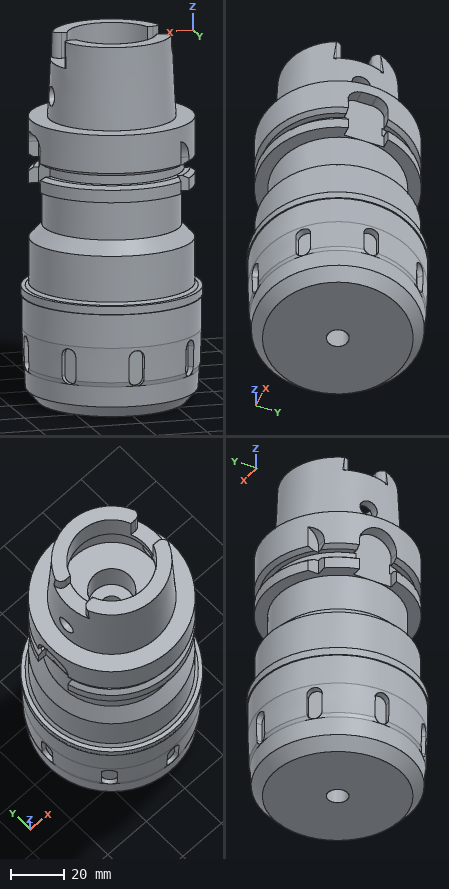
import cadquery as cq
import math

total_length = 142.0
flange_top = 110.0
flange_length = 26.1
flange_bottom = flange_top - flange_length
neck_bottom = 68.2
body_top = 63.0
body_bottom = 45.3

nut_face_radius = 28.4
nut_chamfer_radius = 32.7
nut_chamfer_height = 4.8
nose_radius = 33.1
nose_top = 12.8
nose_step_radius = 33.5
nose_step_top = 14.5
nut_radius = 34.0
nut_taper_top = 28.0
ring_radius = 34.4
ring_bottom = 41.0
ring_top = 44.3
ring_cone_radius = 32.7

spanner_slot_count = 8
spanner_slot_width = 6.0
spanner_slot_bottom = nose_top
spanner_slot_top = 26.7
spanner_slot_floor_radius = 31.2

body_radius = 31.4
neck_radius = 26.4
flange_radius = 31.5
groove_radius = 27.4
groove_lip_radius = 29.5
groove_flank_height = 1.3
groove_top = 94.0
groove_bottom = 90.0

shank_base_radius = 24.3
shank_tip_radius = 22.7

mouth_radius = 16.9
mouth_depth = 12.8
undercut_radius = 20.0
undercut_cone_height = 1.8
bore_floor = 115.0
counterbore_radius = 9.1
counterbore_depth = 14.2
through_radius = 4.3

cross_hole_radius = 3.7
cross_hole_height = 119.1

drive_slot_width = 12.2
drive_slot_edge_x = 20.9
drive_slot_round = 2.8
left_slot_floor = 135.9
right_slot_floor = 132.0

notch_width = 16.2
notch_top = 105.1
notch_floor_radius = neck_radius
square_notch_round = 5.0
side_notch_floor_x = -20.0
side_notch_wall_y = 19.9

cutter_reach = ring_radius + 1.4


def make_outer_body():
    outline = [
        (0, 0),
        (nut_face_radius, 0),
        (nut_chamfer_radius, nut_chamfer_height),
        (nose_radius, nose_top),
        (nose_step_radius, nose_step_top),
        (nut_radius, nut_taper_top),
        (nut_radius, ring_bottom),
        (ring_radius, ring_bottom),
        (ring_radius, ring_top),
        (ring_cone_radius, ring_top),
        (body_radius, body_bottom),
        (body_radius, body_top),
        (neck_radius, neck_bottom),
        (neck_radius, flange_bottom),
        (flange_radius, flange_bottom),
        (flange_radius, groove_bottom - groove_flank_height),
        (groove_lip_radius, groove_bottom),
        (groove_radius, groove_bottom),
        (groove_radius, groove_top),
        (groove_lip_radius, groove_top),
        (flange_radius, groove_top + groove_flank_height),
        (flange_radius, flange_top),
        (shank_base_radius, flange_top),
        (shank_tip_radius, total_length),
        (0, total_length),
    ]
    return cq.Workplane("XZ").polyline(outline).close().revolve(360, (0, 0), (0, 1))


def make_bore():
    mouth_bottom = total_length - mouth_depth
    counterbore_floor = bore_floor - counterbore_depth
    outline = [
        (0, 0),
        (through_radius, 0),
        (through_radius, counterbore_floor),
        (counterbore_radius, counterbore_floor),
        (counterbore_radius, bore_floor),
        (undercut_radius, bore_floor),
        (undercut_radius, mouth_bottom - undercut_cone_height),
        (mouth_radius, mouth_bottom),
        (mouth_radius, total_length),
        (0, total_length),
    ]
    return cq.Workplane("XZ").polyline(outline).close().revolve(360, (0, 0), (0, 1))


def make_cross_hole():
    return (
        cq.Workplane("YZ")
        .center(0, cross_hole_height)
        .circle(cross_hole_radius)
        .extrude(cutter_reach, both=True)
    )


def make_drive_slot(side, floor):
    """Slot through the shank wall on the side X = side, flaring out to the outer edge."""
    half_width = drive_slot_width / 2
    flare_start_x = drive_slot_edge_x - drive_slot_round
    flare_end_y = half_width + drive_slot_round
    bend = drive_slot_round * math.sin(math.radians(45))
    bend_x = flare_start_x + bend
    bend_y = flare_end_y - bend
    outer = cutter_reach
    return (
        cq.Workplane("XY", origin=(0, 0, floor))
        .moveTo(0, -half_width)
        .lineTo(side * flare_start_x, -half_width)
        .threePointArc((side * bend_x, -bend_y), (side * drive_slot_edge_x, -flare_end_y))
        .lineTo(side * drive_slot_edge_x, -outer)
        .lineTo(side * outer, -outer)
        .lineTo(side * outer, outer)
        .lineTo(side * drive_slot_edge_x, outer)
        .lineTo(side * drive_slot_edge_x, flare_end_y)
        .threePointArc((side * bend_x, bend_y), (side * flare_start_x, half_width))
        .lineTo(0, half_width)
        .close()
        .extrude(total_length - floor)
    )


def make_arched_notch(floor_x, center_y):
    """Notch cut inwards from the -X side to a flat floor, with a half-round top."""
    half_width = notch_width / 2
    spring_height = notch_top - half_width
    return (
        cq.Workplane("YZ", origin=(floor_x, 0, 0))
        .moveTo(center_y - half_width, flange_bottom)
        .lineTo(center_y - half_width, spring_height)
        .threePointArc((center_y, notch_top), (center_y + half_width, spring_height))
        .lineTo(center_y + half_width, flange_bottom)
        .close()
        .extrude(-cutter_reach - floor_x)
    )


def make_square_notch(floor_x):
    """Notch cut inwards from the +X side to a flat floor, with two rounded top corners."""
    return (
        cq.Workplane("XY", origin=(floor_x, 0, flange_bottom))
        .box(cutter_reach - floor_x, notch_width, notch_top - flange_bottom, centered=(False, True, False))
        .edges("|X and >Z")
        .fillet(square_notch_round)
    )


def make_spanner_slot(angle):
    height = spanner_slot_top - spanner_slot_bottom
    return (
        cq.Workplane("YZ", origin=(spanner_slot_floor_radius, 0, 0))
        .center(0, (spanner_slot_top + spanner_slot_bottom) / 2)
        .slot2D(height, spanner_slot_width, 90)
        .extrude(cutter_reach - spanner_slot_floor_radius)
        .rotate((0, 0, 0), (0, 0, 1), angle)
    )


result = make_outer_body().cut(make_bore()).cut(make_cross_hole())
result = result.cut(make_drive_slot(-1, left_slot_floor))
result = result.cut(make_drive_slot(1, right_slot_floor))

result = result.cut(make_arched_notch(-notch_floor_radius, 0))
result = result.cut(make_square_notch(notch_floor_radius))
side_notch_center_y = side_notch_wall_y + notch_width / 2
result = result.cut(make_arched_notch(side_notch_floor_x, side_notch_center_y))

for index in range(spanner_slot_count):
    result = result.cut(make_spanner_slot(index * 360 / spanner_slot_count))